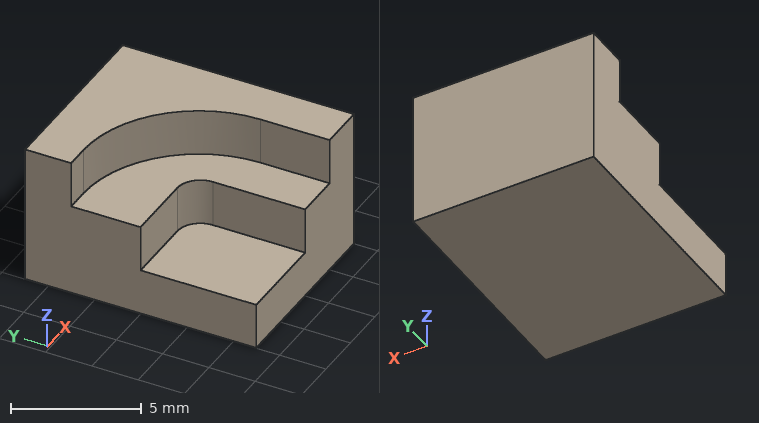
import cadquery as cq

width = 8.0
depth = 10.0
step_height = 2.0
step_count = 3
height = step_height * step_count

upper_width = 6.0
upper_depth = 8.0
upper_radius = 5.0
lower_width = 4.0
lower_depth = 5.0
lower_radius = 1.0


def corner_pocket(pocket_width, pocket_depth, radius, floor):
    """Cutter from the floor to the top of the block, with one rounded vertical edge."""
    return (
        cq.Workplane("XY", origin=(0, 0, floor))
        .rect(pocket_width, pocket_depth, centered=False)
        .extrude(height - floor)
        .edges("|Z and >X and >Y")
        .fillet(radius)
    )


block = cq.Workplane("XY").box(width, depth, height, centered=False)
upper_pocket = corner_pocket(upper_width, upper_depth, upper_radius, 2 * step_height)
lower_pocket = corner_pocket(lower_width, lower_depth, lower_radius, step_height)

result = block.cut(upper_pocket).cut(lower_pocket)